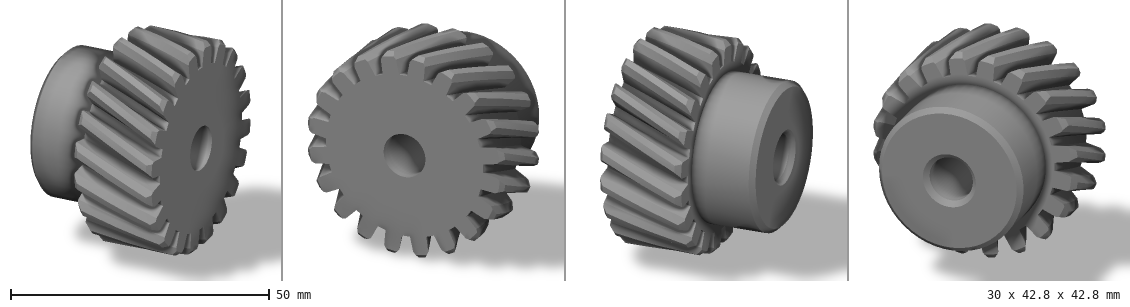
import cadquery as cq

tip_radius = 21.38
hub_radius = 15.0
hub_length = 13.0
face_width = 17.0
bore_radius = 4.5

edge_chamfer = 1.03
far_rim_chamfer = 0.85

tooth_count = 20
tooth_pitch_angle = 360.0 / tooth_count
pitch_advance = 15.1
root_radius = 16.85
root_gap_width = 1.7
relief_radius = 19.9
relief_gap_width = 2.95
tip_gap_width = 5.55
cutter_overrun = 1.3


def make_blank():
    """Hub and toothless rim, turned about the X axis, with the hub face at x = 0."""
    length = hub_length + face_width
    return (
        cq.Workplane("XY")
        .moveTo(edge_chamfer, bore_radius)
        .lineTo(0, bore_radius + edge_chamfer)
        .lineTo(0, hub_radius - edge_chamfer)
        .lineTo(edge_chamfer, hub_radius)
        .lineTo(hub_length, hub_radius)
        .lineTo(hub_length, tip_radius - edge_chamfer)
        .lineTo(hub_length + edge_chamfer, tip_radius)
        .lineTo(length - far_rim_chamfer, tip_radius)
        .lineTo(length, tip_radius - far_rim_chamfer)
        .lineTo(length, bore_radius)
        .close()
        .revolve(360, (0, 0, 0), (1, 0, 0))
    )


def make_gap_cutter():
    """Helical cutter for one tooth gap, centred on +Z where the rim reaches full radius."""
    relief_slope = (tip_gap_width - relief_gap_width) / (tip_radius - relief_radius)
    outer_radius = tip_radius + cutter_overrun
    outer_gap_width = tip_gap_width + relief_slope * cutter_overrun
    right_side = [
        (root_gap_width / 2, root_radius),
        (relief_gap_width / 2, relief_radius),
        (outer_gap_width / 2, outer_radius),
    ]
    left_side = [(-y, z) for y, z in reversed(right_side)]

    cutter_length = face_width + 2 * cutter_overrun
    twist_rate = tooth_pitch_angle / pitch_advance
    lead_in = edge_chamfer + cutter_overrun
    return (
        cq.Workplane("YZ")
        .polyline(right_side + left_side)
        .close()
        .twistExtrude(cutter_length, twist_rate * cutter_length)
        .rotate((0, 0, 0), (1, 0, 0), -twist_rate * lead_in)
        .translate((hub_length - cutter_overrun, 0, 0))
    )


def cut_teeth(blank):
    """Cut the ring of helical gaps; the cutter overrun stays outside the hub radius."""
    gap_cutter = make_gap_cutter()
    gear = blank
    for index in range(tooth_count):
        gear = gear.cut(gap_cutter.rotate((0, 0, 0), (1, 0, 0), index * tooth_pitch_angle))
    return gear


result = cut_teeth(make_blank())